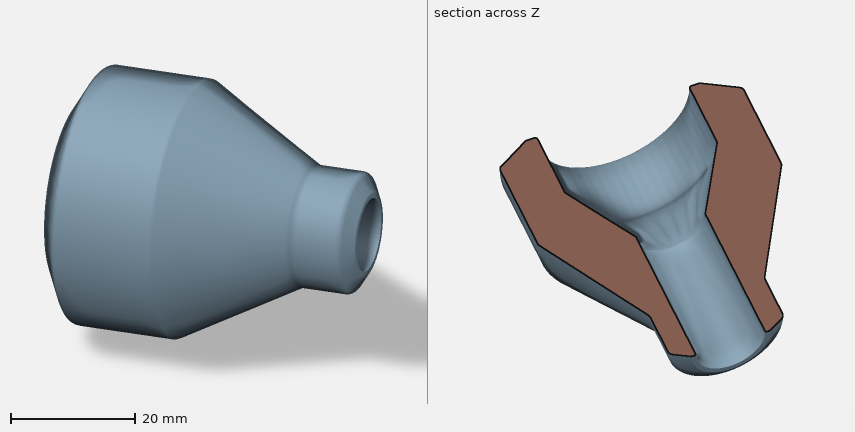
import cadquery as cq
import math

length = 50.0
body_radius = 42.4 / 2
neck_radius = 20.0 / 2
body_end = 20.0
neck_start = 40.0
bevel_slope = math.tan(math.radians(60))
front_bevel = 3.5
neck_bevel = 1.8
edge_round = 1.0

bore_radius = 26.4 / 2
bore_depth = 12.0
through_radius = 12.0 / 2
bore_cone_angle = math.radians(30)
bore_cone_end = bore_depth + (bore_radius - through_radius) / math.tan(bore_cone_angle)
mouth_chamfer = 0.3


def outer_body():
    """Revolve the outline and round its edges."""
    outline = [
        (0, 0),
        (0, body_radius - front_bevel * bevel_slope),
        (front_bevel, body_radius),
        (body_end, body_radius),
        (neck_start, neck_radius),
        (length - neck_bevel, neck_radius),
        (length, neck_radius - neck_bevel * bevel_slope),
        (length, 0),
    ]
    body = cq.Workplane("XY").polyline(outline).close().revolve(360, (0, 0), (1, 0))
    for x, radius in [
        (front_bevel, body_radius),
        (body_end, body_radius),
        (neck_start, neck_radius),
        (length - neck_bevel, neck_radius),
    ]:
        around_edge = cq.selectors.BoxSelector(
            (x - edge_round, -radius - edge_round, -radius - edge_round),
            (x + edge_round, radius + edge_round, radius + edge_round),
            boundingbox=True,
        )
        body = body.edges("%CIRCLE").edges(around_edge).fillet(edge_round)
    return body


def inner_bore():
    """Chamfered bore that narrows through a cone to the through hole."""
    outline = [
        (0, 0),
        (0, bore_radius + mouth_chamfer),
        (mouth_chamfer, bore_radius),
        (bore_depth, bore_radius),
        (bore_cone_end, through_radius),
        (length, through_radius),
        (length, 0),
    ]
    return cq.Workplane("XY").polyline(outline).close().revolve(360, (0, 0), (1, 0))


result = outer_body().cut(inner_bore())